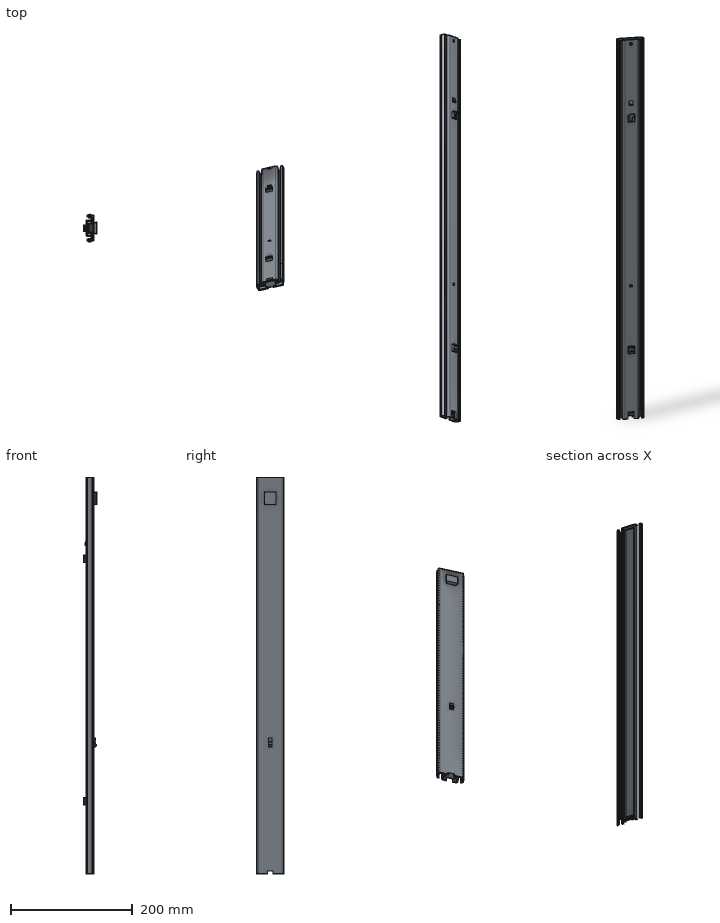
import cadquery as cq

LENGTH = 650.0
SHEET = 2.0
INNER_SHEET = 2.5

OUTER_BACK = 6.2
OUTER_FRONT = -5.0
OUTER_HALF_WIDTH = 21.5
CREST_HALF_WIDTH = 23.0
RACE_END = 2.5
LIP_RADIUS = 1.0
BACK_RADIUS = 2.0
MOUTH_WIDTH = 36.5
OUTER_NOTCH_WIDTH = 8.5
OUTER_NOTCH_HEIGHT = 4.5
END_STOP_FRONT = -4.0
END_STOP_WIDTH = 17.0
END_STOP_HEIGHT = 2.5

MIDDLE_BACK = 3.0
MIDDLE_FRONT = -2.5
MIDDLE_WIDTH = 38.0
MIDDLE_BOTTOM = 12.0
MIDDLE_TOP = 647.0
MIDDLE_RADIUS = 3.0
RIB_FRONT = -4.0
RIB_WIDTH = 17.0

INNER_FRONT = -7.0
INNER_BACK = 0.5
INNER_WIDTH = 27.0
INNER_RADIUS = 3.0
INNER_NOTCH_WIDTH = 10.5
INNER_NOTCH_HEIGHT = 12.0
HOLE_DIAMETER = 4.5
HOLE_HEIGHTS = (228.0, 643.0)

TAB_REACH = 1.6
TAB_WIDTH = 6.5
TAB_BOTTOM = 538.0
TAB_TOP = 545.5
TAB_FLAT_TOP = 541.0

HOOK_FRONT = -11.0
HOOK_WIDTH = 11.0
LOWER_HOOK_BOTTOM = 113.0
LOWER_HOOK_HEIGHT = 12.0
RAMP_HEIGHTS = (116.0, 121.5)
RAMP_SIZE = 2.0
RAMP_WIDTH = 8.0
UPPER_HOOK_BOTTOM = 510.0
UPPER_HOOK_HEIGHT = 12.5
SLOT_WIDTH = 4.0
SLOT_DEPTH = 1.0
SLOT_BOTTOM = 512.0
SLOT_ARM_BOTTOM = 518.0
SLOT_EDGE = 2.5
CORNER_DROP = 2.0
SLOT_ARM_END = -4.0

BLOCK_BACK = 11.0
BLOCK_WIDTH = 19.5
BLOCK_FOOT_WIDTH = 15.5
BLOCK_FLARE_END = 9.0
BLOCK_BOTTOM = 606.0
BLOCK_TOP = 626.0
CLIP_WIDTH = 6.5
CLIP_PLATE = 0.5
CLIP_BOTTOM = 208.0
CLIP_TOP = 223.0
TOOTH_REACH = 2.5
NUB_REACH = 4.0
CLIP_GAP = (215.0, 218.0)
NUB_SPAN = (210.0, 212.0)


def block(x_range, y_range, z_range):
    """Box filling the given ranges along X, Y and Z."""
    size = [high - low for low, high in (x_range, y_range, z_range)]
    corner = (x_range[0], y_range[0], z_range[0])
    return cq.Workplane("XY").box(*size, centered=False).translate(corner)


def centred_block(x_range, width, z_range):
    """Box centred on Y = 0."""
    return block(x_range, (-width / 2, width / 2), z_range)


def side_profile(points, width):
    """Outline of X, Z points, extruded symmetrically along Y."""
    return cq.Workplane("XZ").polyline(points).close().extrude(width / 2, both=True)


def outer_outline():
    """Closed outline of the outer rail, with a bulged race on each side."""
    race_start = OUTER_FRONT + LIP_RADIUS
    race_middle = (race_start + RACE_END) / 2
    return (
        cq.Workplane("XY")
        .moveTo(OUTER_FRONT, -OUTER_HALF_WIDTH + LIP_RADIUS)
        .radiusArc((race_start, -OUTER_HALF_WIDTH), -LIP_RADIUS)
        .threePointArc((race_middle, -CREST_HALF_WIDTH), (RACE_END, -OUTER_HALF_WIDTH))
        .lineTo(OUTER_BACK - BACK_RADIUS, -OUTER_HALF_WIDTH)
        .radiusArc((OUTER_BACK, -OUTER_HALF_WIDTH + BACK_RADIUS), -BACK_RADIUS)
        .lineTo(OUTER_BACK, OUTER_HALF_WIDTH - BACK_RADIUS)
        .radiusArc((OUTER_BACK - BACK_RADIUS, OUTER_HALF_WIDTH), -BACK_RADIUS)
        .lineTo(RACE_END, OUTER_HALF_WIDTH)
        .threePointArc((race_middle, CREST_HALF_WIDTH), (race_start, OUTER_HALF_WIDTH))
        .radiusArc((OUTER_FRONT, OUTER_HALF_WIDTH - LIP_RADIUS), -LIP_RADIUS)
        .close()
    )


def make_outer_rail():
    body = outer_outline().extrude(LENGTH)
    cavity = outer_outline().offset2D(-SHEET).extrude(LENGTH)
    mouth = centred_block((OUTER_FRONT, 0), MOUTH_WIDTH, (0, LENGTH))
    notch = centred_block((0, OUTER_BACK), OUTER_NOTCH_WIDTH, (0, OUTER_NOTCH_HEIGHT))
    end_stop = centred_block(
        (END_STOP_FRONT, OUTER_BACK - SHEET),
        END_STOP_WIDTH,
        (OUTER_NOTCH_HEIGHT, OUTER_NOTCH_HEIGHT + END_STOP_HEIGHT),
    )
    return body.cut(cavity).cut(mouth).cut(notch).union(end_stop)


def make_middle_rail():
    span = (MIDDLE_BOTTOM, MIDDLE_TOP)
    body = centred_block((MIDDLE_FRONT, MIDDLE_BACK), MIDDLE_WIDTH, span)
    body = body.edges("|Z and >X").fillet(MIDDLE_RADIUS)
    cavity = centred_block((MIDDLE_FRONT, MIDDLE_BACK - SHEET), MIDDLE_WIDTH - 2 * SHEET, span)
    cavity = cavity.edges("|Z and >X").fillet(MIDDLE_RADIUS - SHEET)
    rib = centred_block((RIB_FRONT, MIDDLE_BACK), RIB_WIDTH, span)
    hollow = centred_block((RIB_FRONT + SHEET, MIDDLE_BACK), RIB_WIDTH - 2 * SHEET, span)
    return body.cut(cavity).union(rib).cut(hollow)


def make_stop_tab():
    tip = INNER_FRONT - TAB_REACH
    points = [
        (INNER_FRONT, TAB_BOTTOM),
        (tip, TAB_BOTTOM),
        (tip, TAB_FLAT_TOP),
        (INNER_FRONT, TAB_TOP),
    ]
    return side_profile(points, TAB_WIDTH)


def make_inner_rail():
    span = (0, LENGTH)
    web_back = INNER_FRONT + INNER_SHEET
    body = centred_block((INNER_FRONT, INNER_BACK), INNER_WIDTH, span)
    body = body.edges("|Z and <X").fillet(INNER_RADIUS)
    cavity = centred_block((web_back, INNER_BACK), INNER_WIDTH - 2 * INNER_SHEET, span)
    cavity = cavity.edges("|Z and <X").fillet(INNER_RADIUS - INNER_SHEET)
    notch = centred_block((INNER_FRONT, web_back), INNER_NOTCH_WIDTH, (0, INNER_NOTCH_HEIGHT))
    rail = body.cut(cavity).cut(notch)
    for height in HOLE_HEIGHTS:
        hole_centre = (INNER_FRONT, 0, height)
        hole = cq.Workplane("YZ", origin=hole_centre).circle(HOLE_DIAMETER / 2).extrude(INNER_SHEET)
        rail = rail.cut(hole)
    return rail.union(make_stop_tab())


def make_hook_blank(bottom, height):
    return centred_block((HOOK_FRONT, INNER_FRONT), HOOK_WIDTH, (bottom, bottom + height))


def make_lower_hook():
    """Hook with two pockets whose floors slope inward and up."""
    hook = make_hook_blank(LOWER_HOOK_BOTTOM, LOWER_HOOK_HEIGHT)
    for bottom in RAMP_HEIGHTS:
        top = bottom + RAMP_SIZE
        points = [(HOOK_FRONT, bottom), (HOOK_FRONT, top), (HOOK_FRONT + RAMP_SIZE, top)]
        hook = hook.cut(side_profile(points, RAMP_WIDTH))
    return hook


def make_upper_hook():
    """Hook with one lowered top corner and an L-shaped slot, open at the top, in its front."""
    hook = make_hook_blank(UPPER_HOOK_BOTTOM, UPPER_HOOK_HEIGHT)
    hook_top = UPPER_HOOK_BOTTOM + UPPER_HOOK_HEIGHT
    slot_x = (HOOK_FRONT, HOOK_FRONT + SLOT_DEPTH)
    corner_z = (hook_top - CORNER_DROP, hook_top)
    corner = block((HOOK_FRONT, INNER_FRONT), (SLOT_EDGE, HOOK_WIDTH / 2), corner_z)
    stem = block(slot_x, (SLOT_EDGE - SLOT_WIDTH, SLOT_EDGE), (SLOT_BOTTOM, hook_top))
    arm = block(slot_x, (SLOT_ARM_END, SLOT_EDGE), (SLOT_ARM_BOTTOM, hook_top))
    return hook.cut(corner).cut(stem).cut(arm)


def make_latch_block():
    """Block that flares from a narrow foot to its full width."""
    points = [
        (OUTER_BACK, -BLOCK_FOOT_WIDTH / 2),
        (BLOCK_FLARE_END, -BLOCK_WIDTH / 2),
        (BLOCK_BACK, -BLOCK_WIDTH / 2),
        (BLOCK_BACK, BLOCK_WIDTH / 2),
        (BLOCK_FLARE_END, BLOCK_WIDTH / 2),
        (OUTER_BACK, BLOCK_FOOT_WIDTH / 2),
    ]
    outline = cq.Workplane("XY", origin=(0, 0, BLOCK_BOTTOM)).polyline(points).close()
    return outline.extrude(BLOCK_TOP - BLOCK_BOTTOM)


def make_stop_clip():
    """Thin plate with two teeth, the lower one carrying a small nub."""
    tooth_back = OUTER_BACK + TOOTH_REACH
    clip = centred_block((OUTER_BACK, tooth_back), CLIP_WIDTH, (CLIP_BOTTOM, CLIP_TOP))
    gap = centred_block((OUTER_BACK + CLIP_PLATE, tooth_back), CLIP_WIDTH, CLIP_GAP)
    nub = centred_block((OUTER_BACK, OUTER_BACK + NUB_REACH), CLIP_WIDTH, NUB_SPAN)
    return clip.cut(gap).union(nub)


outer_rail = make_outer_rail()
middle_rail = make_middle_rail()
inner_rail = make_inner_rail()
lower_hook = make_lower_hook()
upper_hook = make_upper_hook()
latch_block = make_latch_block()
stop_clip = make_stop_clip()

bodies = [outer_rail, middle_rail, inner_rail, lower_hook, upper_hook, latch_block, stop_clip]
result = cq.Compound.makeCompound([body.solids().val() for body in bodies])